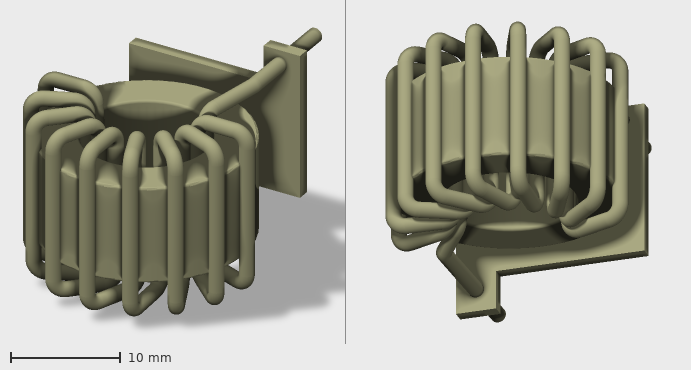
import cadquery as cq
import math

CORE_OUTER_RADIUS = 10.28
CORE_INNER_RADIUS = 6.18
CORE_HEIGHT = 9.9
CORE_EDGE_FILLET = 0.25

WIRE_RADIUS = 1.47 / 2
BEND_RADIUS = 1.27
KNEE_RADIUS = 0.75
TURN_COUNT = 9
TURN_PITCH = 22.5
FIRST_TURN_ANGLE = 180.0
COIL_OUTER_RADIUS = 22.72 / 2 - WIRE_RADIUS
COIL_INNER_RADIUS = 5.43
COIL_LEVEL = 7.9

LEAD_END_Y = 19.2
UPPER_LEAD_X = 6.58
UPPER_LEAD_KNEE_Y = 8.15
UPPER_LEAD_CORNER_Z = 7.48
LOWER_LEAD_X = -7.41
LOWER_LEAD_END_Z = -6.75
LOWER_LEAD_KNEE_Y = 3.25
LOWER_LEAD_KNEE_Z = -7.55
LOWER_LEAD_CORNER_X = -4.78
LOWER_LEAD_CORNER_Z = -6.5

PLATE_THICKNESS = 1.25
PLATE_BACK_Y = 14.07
PLATE_LEFT_X = -9.37
PLATE_RIGHT_X = 8.71
PLATE_BOTTOM_Z = -9.19
PLATE_TOP_Z = PLATE_BOTTOM_Z + 18.54
TAB_WIDTH = 3.85
TAB_HEIGHT = 3.75


def coil_point(radius, turn, z):
    """Point of the winding at the given radius and turn number."""
    angle = math.radians(FIRST_TURN_ANGLE + TURN_PITCH * turn)
    return cq.Vector(radius * math.cos(angle), radius * math.sin(angle), z)


def rounded_path(points, bend_radii):
    """Polyline through the points with a tangent arc at every inner point."""
    edges = []
    start = points[0]
    for before, corner, after, bend_radius in zip(points, points[1:], points[2:], bend_radii):
        back = (before - corner).normalized()
        ahead = (after - corner).normalized()
        half_angle = back.getAngle(ahead) / 2
        tangent_length = bend_radius / math.tan(half_angle)
        arc_start = corner + back * tangent_length
        arc_end = corner + ahead * tangent_length
        bisector = (back + ahead).normalized()
        apex_distance = bend_radius / math.sin(half_angle) - bend_radius
        arc_middle = corner + bisector * apex_distance
        edges.append(cq.Edge.makeLine(start, arc_start))
        edges.append(cq.Edge.makeThreePointArc(arc_start, arc_middle, arc_end))
        start = arc_end
    edges.append(cq.Edge.makeLine(start, points[-1]))
    return cq.Wire.assembleEdges(edges)


def round_wire(points, bend_radii):
    """Round wire that follows the points, with one bend radius per inner point."""
    path = rounded_path(points, bend_radii)
    start_plane = cq.Plane(origin=points[0], normal=points[1] - points[0])
    return cq.Workplane(start_plane).circle(WIRE_RADIUS).sweep(cq.Workplane(path))


def make_core():
    ring = cq.Workplane("XY").circle(CORE_OUTER_RADIUS).circle(CORE_INNER_RADIUS)
    core = ring.extrude(CORE_HEIGHT / 2, both=True)
    return core.faces("|Z").edges().fillet(CORE_EDGE_FILLET)


def make_turn(turn):
    """One turn: up inside the core, over it, down outside and below to the next inner wire."""
    next_turn = turn + 1
    points = [
        coil_point(COIL_INNER_RADIUS, turn, COIL_LEVEL),
        coil_point(COIL_OUTER_RADIUS, turn, COIL_LEVEL),
        coil_point(COIL_OUTER_RADIUS, turn, -COIL_LEVEL),
        coil_point(COIL_INNER_RADIUS, next_turn, -COIL_LEVEL),
        coil_point(COIL_INNER_RADIUS, next_turn, 0),
    ]
    bend_radii = [BEND_RADIUS] * (len(points) - 1)
    if turn == 0:
        lead_points, lead_radii = lower_lead()
        return round_wire(lead_points + points, lead_radii + bend_radii)
    inner_start = coil_point(COIL_INNER_RADIUS, turn, 0)
    return round_wire([inner_start] + points, bend_radii)


def lower_lead():
    """Points and bend radii of the lead that runs into the first turn."""
    points = [
        cq.Vector(LOWER_LEAD_X, LEAD_END_Y, LOWER_LEAD_END_Z),
        cq.Vector(LOWER_LEAD_X, LOWER_LEAD_KNEE_Y, LOWER_LEAD_KNEE_Z),
        cq.Vector(LOWER_LEAD_CORNER_X, 0, LOWER_LEAD_CORNER_Z),
    ]
    return points, [KNEE_RADIUS, BEND_RADIUS]


def make_upper_lead():
    """Lead that continues the last inner wire over the core and through the plate."""
    points = [
        coil_point(COIL_INNER_RADIUS, TURN_COUNT, 0),
        coil_point(COIL_INNER_RADIUS, TURN_COUNT, UPPER_LEAD_CORNER_Z),
        cq.Vector(UPPER_LEAD_X, UPPER_LEAD_KNEE_Y, COIL_LEVEL),
        cq.Vector(UPPER_LEAD_X, LEAD_END_Y, COIL_LEVEL),
    ]
    return round_wire(points, [BEND_RADIUS, KNEE_RADIUS])


def make_plate():
    """Plate with a raised tab at its right end and a lowered tab at its left end."""
    outline = [
        (PLATE_LEFT_X, PLATE_BOTTOM_Z),
        (PLATE_LEFT_X + TAB_WIDTH, PLATE_BOTTOM_Z),
        (PLATE_LEFT_X + TAB_WIDTH, PLATE_BOTTOM_Z + TAB_HEIGHT),
        (PLATE_RIGHT_X, PLATE_BOTTOM_Z + TAB_HEIGHT),
        (PLATE_RIGHT_X, PLATE_TOP_Z),
        (PLATE_RIGHT_X - TAB_WIDTH, PLATE_TOP_Z),
        (PLATE_RIGHT_X - TAB_WIDTH, PLATE_TOP_Z - TAB_HEIGHT),
        (PLATE_LEFT_X, PLATE_TOP_Z - TAB_HEIGHT),
    ]
    back_plane = cq.Workplane("XZ", origin=(0, PLATE_BACK_Y, 0))
    return back_plane.polyline(outline).close().extrude(PLATE_THICKNESS)


result = make_core()
for turn_number in range(TURN_COUNT):
    result = result.union(make_turn(turn_number))
result = result.union(make_upper_lead()).union(make_plate())